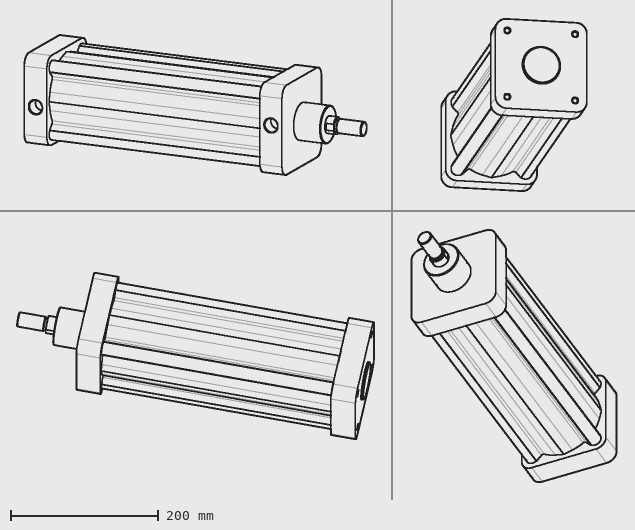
import cadquery as cq
import math


overall_length = 481.0
collar_height = 3.0
rear_cap_thickness = 34.0
front_cap_thickness = 33.0
barrel_length = 318.0
bushing_length = 40.0
barrel_start = rear_cap_thickness
front_cap_start = barrel_start + barrel_length
front_cap_end = front_cap_start + front_cap_thickness
bushing_end = front_cap_end + bushing_length
rod_end = overall_length - collar_height

cap_side = 126.0
cap_corner_radius = 15.0
collar_diameter = 52.0
collar_chamfer = 1.5
bushing_chamfer = 1.0

port_diameter = 19.0
port_mouth_diameter = 20.9
port_depth = 20.0
port_offset = 8.0

corner_spacing = 93.4
corner_hole_diameter = 6.8
corner_hole_mouth_diameter = 9.0
corner_hole_depth = 20.0

barrel_radius = 54.6
ridge_height = 56.2
column_radius = 9.0
web_width = 19.0
web_overrun = 1.0
web_root_fillet = 3.5

rod_diameter = 24.0
rod_chamfer = 0.5
flat_width = 22.0
flat_length = 11.5
shoulder_projection = 13.0
shoulder_x = bushing_end + shoulder_projection
thread_diameter = 20.0
relief_diameter = 18.0
relief_length = 3.0
thread_lead_in = (thread_diameter - relief_diameter) / 2
thread_end_chamfer = 1.0


def disc(diameter, start, length):
    """Solid cylinder on the X axis."""
    return cq.Workplane("YZ", origin=(start, 0, 0)).circle(diameter / 2).extrude(length)


def cap_block(start, thickness):
    """Square cap plate with rounded edges along X."""
    plate = cq.Workplane("YZ", origin=(start, 0, 0)).rect(cap_side, cap_side).extrude(thickness)
    return plate.edges("|X").fillet(cap_corner_radius)


def countersunk_hole(origin, direction, diameter, mouth_diameter, depth):
    """Cutter for a blind hole with a 45 degree chamfer at its mouth."""
    point = cq.Vector(*origin)
    axis = cq.Vector(*direction)
    mouth_depth = (mouth_diameter - diameter) / 2
    bore = cq.Solid.makeCylinder(diameter / 2, depth, point, axis)
    mouth = cq.Solid.makeCone(mouth_diameter / 2, diameter / 2, mouth_depth, point, axis)
    return cq.Workplane(bore).union(cq.Workplane(mouth))


def port(x, z):
    """Cutter for an air port in the -Y face of a cap."""
    face_point = (x, -cap_side / 2, z)
    return countersunk_hole(face_point, (0, 1, 0), port_diameter, port_mouth_diameter, port_depth)


def make_rear_cap():
    cap = cap_block(0, rear_cap_thickness)
    collar = disc(collar_diameter, -collar_height, collar_height).faces("<X").chamfer(collar_chamfer)
    cap = cap.union(collar)
    for side_y in (-1, 1):
        for side_z in (-1, 1):
            center = (0, side_y * corner_spacing / 2, side_z * corner_spacing / 2)
            cap = cap.cut(countersunk_hole(
                center, (1, 0, 0), corner_hole_diameter, corner_hole_mouth_diameter, corner_hole_depth
            ))
    return cap.cut(port(rear_cap_thickness / 2, -port_offset))


def make_barrel():
    """Round core with a shallow ridge on each side and a column on a web at each corner."""
    plane = cq.Workplane("YZ", origin=(barrel_start, 0, 0))
    barrel = plane.circle(barrel_radius).extrude(barrel_length)

    tangent_angle = math.acos(barrel_radius / ridge_height)
    tangent_y = barrel_radius * math.cos(tangent_angle)
    tangent_z = barrel_radius * math.sin(tangent_angle)
    ridge_outline = [(0, 0), (tangent_y, -tangent_z), (ridge_height, 0), (tangent_y, tangent_z)]
    ridge = plane.polyline(ridge_outline).close().extrude(barrel_length)

    column_distance = corner_spacing / math.sqrt(2)
    web_length = column_distance + web_overrun
    web = plane.center(web_length / 2, 0).rect(web_length, web_width).extrude(barrel_length)
    column = plane.center(column_distance, 0).circle(column_radius).extrude(barrel_length)

    def turned(shape, angle):
        return shape.rotate((0, 0, 0), (1, 0, 0), angle)

    quarters = (0, 90, 180, 270)
    for quarter in quarters:
        barrel = barrel.union(turned(ridge, quarter))
        barrel = barrel.union(turned(web, quarter + 45))

    root_half_angle = math.asin(web_width / 2 / barrel_radius)
    for quarter in quarters:
        for side in (-1, 1):
            angle = math.radians(quarter + 45) + side * root_half_angle
            root = (
                barrel_start + barrel_length / 2,
                barrel_radius * math.cos(angle),
                barrel_radius * math.sin(angle),
            )
            barrel = barrel.edges(cq.NearestToPointSelector(root)).fillet(web_root_fillet)

    for quarter in quarters:
        barrel = barrel.union(turned(column, quarter + 45))
    return barrel


def make_front_cap():
    bushing = disc(collar_diameter, front_cap_end, bushing_length).faces(">X").chamfer(bushing_chamfer)
    cap = cap_block(front_cap_start, front_cap_thickness).union(bushing)
    cap = cap.cut(disc(rod_diameter, front_cap_start, front_cap_thickness + bushing_length))
    return cap.cut(port(front_cap_start + front_cap_thickness / 2, port_offset))


def make_rod():
    """Rod from the barrel's end face out through the bushing, with wrench flats and a thread stub."""
    shank = disc(rod_diameter, front_cap_start, shoulder_x - front_cap_start)
    shank = shank.faces(">X").chamfer(rod_chamfer)
    for side in (-1, 1):
        waste = cq.Workplane("XY").box(flat_length, rod_diameter, rod_diameter)
        offset_y = side * (flat_width + rod_diameter) / 2
        shank = shank.cut(waste.translate((shoulder_x - flat_length / 2, offset_y, 0)))

    relief = disc(relief_diameter, shoulder_x, relief_length)
    thread_start = shoulder_x + relief_length
    thread = disc(thread_diameter, thread_start, rod_end - thread_start)
    thread = thread.faces("<X").chamfer(thread_lead_in)
    thread = thread.faces(">X").chamfer(thread_end_chamfer)
    return shank.union(relief).union(thread)


rear_cap = make_rear_cap()
barrel = make_barrel()
front_cap = make_front_cap()
rod = make_rod()

result = cq.Compound.makeCompound([rear_cap.val(), barrel.val(), front_cap.val(), rod.val()])